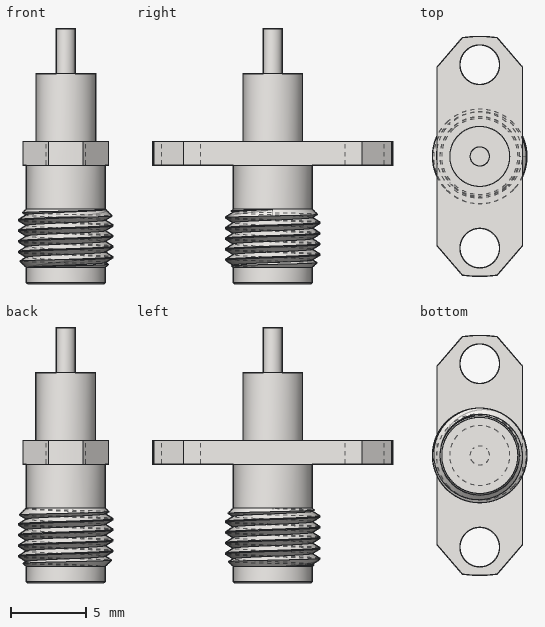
import cadquery as cq
import math

total_height = 17.0
boss_top = 14.0
flange_top = 9.5
flange_bottom = 7.9
thread_top = 5.0
thread_bottom = 1.1

pin_diameter = 1.28
boss_diameter = 4.0
barrel_radius = 2.64
rim_chamfer = 0.1

flange_length = 16.0
flange_width = 5.7
taper_start_y = 5.95
end_half_width = 1.15
hole_diameter = 2.62
hole_offset = 6.1

thread_radius = 3.154
root_radius = 2.65
thread_pitch = 0.705
crest_flat = 0.07
groove_reference_z = 3.55
turns_below_reference = 5
groove_turns = 7
cutter_overrun = 0.08
blank_extra = 3.4


def make_cylinder(diameter, bottom, top):
    return cq.Workplane("XY").workplane(offset=bottom).circle(diameter / 2).extrude(top - bottom)


def make_flange():
    half_width = flange_width / 2
    end_radius = flange_length / 2
    end_corner_y = math.sqrt(end_radius**2 - end_half_width**2)
    return (
        cq.Workplane("XY")
        .workplane(offset=flange_bottom)
        .moveTo(half_width, -taper_start_y)
        .lineTo(half_width, taper_start_y)
        .lineTo(end_half_width, end_corner_y)
        .threePointArc((0, end_radius), (-end_half_width, end_corner_y))
        .lineTo(-half_width, taper_start_y)
        .lineTo(-half_width, -taper_start_y)
        .lineTo(-end_half_width, -end_corner_y)
        .threePointArc((0, -end_radius), (end_half_width, -end_corner_y))
        .close()
        .pushPoints([(0, hole_offset), (0, -hole_offset)])
        .circle(hole_diameter / 2)
        .extrude(flange_top - flange_bottom)
    )


def make_groove_cutter():
    start_z = groove_reference_z - turns_below_reference * thread_pitch
    depth = thread_radius - root_radius
    crest_half_width = (thread_pitch - crest_flat) / 2
    outer_half_width = crest_half_width * (depth + cutter_overrun) / depth
    outer_radius = thread_radius + cutter_overrun
    helix = cq.Wire.makeHelix(thread_pitch, groove_turns * thread_pitch, root_radius)
    path = cq.Workplane(obj=helix.translate(cq.Vector(0, 0, start_z)))
    return (
        cq.Workplane("XZ")
        .moveTo(root_radius, start_z)
        .lineTo(outer_radius, start_z + outer_half_width)
        .lineTo(outer_radius, start_z - outer_half_width)
        .close()
        .sweep(path, isFrenet=True)
    )


def make_thread():
    blank = make_cylinder(2 * thread_radius, thread_bottom - blank_extra, thread_top + blank_extra)
    sleeve = (
        make_cylinder(2 * thread_radius, thread_bottom, thread_top)
        .faces("<Z or >Z")
        .chamfer(thread_radius - barrel_radius)
    )
    return blank.cut(make_groove_cutter()).intersect(sleeve)


barrel = make_cylinder(2 * barrel_radius, 0, flange_bottom).faces("<Z").chamfer(rim_chamfer)
boss = make_cylinder(boss_diameter, flange_top, boss_top)
pin = make_cylinder(pin_diameter, boss_top, total_height)

result = make_thread().union(barrel).union(make_flange()).union(boss).union(pin)